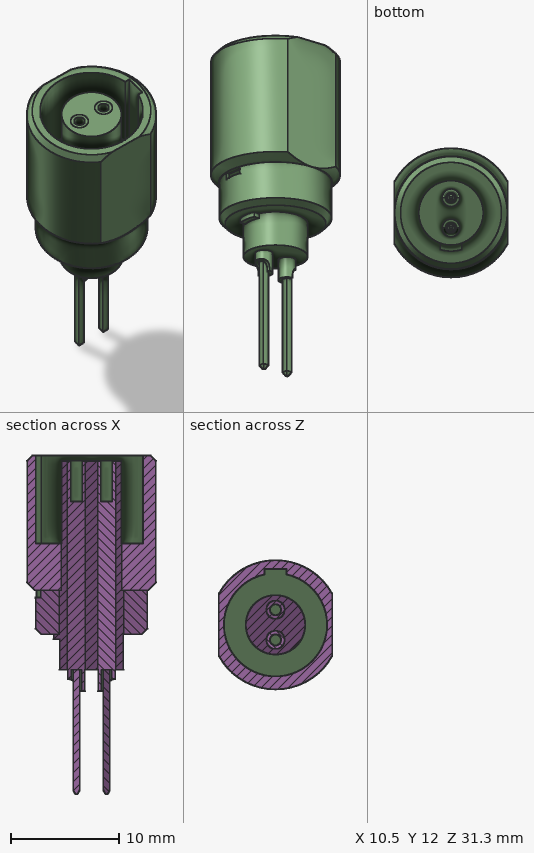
import cadquery as cq

TOTAL_HEIGHT = 31.3
SHELL_BOTTOM = 18.85
RING_BOTTOM = 14.77
INSULATOR_BOTTOM = 11.5
CONTACT_BOTTOM = 9.5

SHELL_RADIUS = 5.98
FLAT_WIDTH = 10.5
TOP_CHAMFER = 0.5
BOTTOM_CHAMFER = SHELL_RADIUS - FLAT_WIDTH / 2
CAVITY_RADIUS = 4.75
CAVITY_DEPTH = 8.15
KEYWAY_WIDTH = 2.0
KEYWAY_REACH = 5.13

RING_RADIUS = 5.2
RING_CHAMFER = 0.53
RING_NOTCH_HEIGHT = 0.65
RING_NOTCH_DEPTH = 0.5

CORE_RADIUS = 2.75
CORE_RECESS = 0.5
CORE_TOP = TOTAL_HEIGHT - CORE_RECESS
REAR_RADIUS = 2.97
TAB_REACH = 3.55
TAB_HEIGHT = 0.47

CONTACT_RADIUS = 0.8
CONTACT_PITCH = 2.8
SOCKET_RADIUS = 0.5
SOCKET_DEPTH = 3.75
CUP_RADIUS = 0.47
CUP_TOP = INSULATOR_BOTTOM
CUTAWAY_TOP = INSULATOR_BOTTOM - 0.85
PIN_WIDTH = 0.63
PIN_TIP_HEIGHT = 0.38
PIN_TIP_INSET = 0.22

SIDES = (-1, 1)


def cylinder(radius, bottom, top):
    return cq.Workplane("XY").workplane(offset=bottom).circle(radius).extrude(top - bottom)


def block(x_size, y_min, y_max, bottom, top):
    """Box centred on X = 0 between the given Y and Z limits."""
    box = cq.Workplane("XY").box(x_size, y_max - y_min, top - bottom, centered=(True, False, False))
    return box.translate((0, y_min, bottom))


def make_shell():
    """Round sleeve with two flats, a mating cavity and a keyway on +Y."""
    shell = cylinder(SHELL_RADIUS, SHELL_BOTTOM, TOTAL_HEIGHT)
    shell = shell.faces(">Z").chamfer(TOP_CHAMFER)
    shell = shell.faces("<Z").chamfer(BOTTOM_CHAMFER)
    flats = block(FLAT_WIDTH, -SHELL_RADIUS, SHELL_RADIUS, SHELL_BOTTOM, TOTAL_HEIGHT)
    cavity_floor = TOTAL_HEIGHT - CAVITY_DEPTH
    cavity = cylinder(CAVITY_RADIUS, cavity_floor, TOTAL_HEIGHT)
    keyway = block(KEYWAY_WIDTH, 0, KEYWAY_REACH, cavity_floor, TOTAL_HEIGHT)
    core_bore = cylinder(CORE_RADIUS, SHELL_BOTTOM, TOTAL_HEIGHT)
    return shell.intersect(flats).cut(cavity).cut(keyway).cut(core_bore)


def make_ring():
    """Rear ring with a chamfered lower edge and a notch under the shell on +Y."""
    ring = cylinder(RING_RADIUS, RING_BOTTOM, SHELL_BOTTOM)
    ring = ring.faces("<Z").chamfer(RING_CHAMFER)
    notch = block(
        KEYWAY_WIDTH,
        RING_RADIUS - RING_NOTCH_DEPTH,
        RING_RADIUS,
        SHELL_BOTTOM - RING_NOTCH_HEIGHT,
        SHELL_BOTTOM,
    )
    return ring.cut(cylinder(REAR_RADIUS, RING_BOTTOM, SHELL_BOTTOM)).cut(notch)


def make_insulator():
    """Stepped core with a small tab below the ring and two contact bores."""
    insulator = cylinder(REAR_RADIUS, INSULATOR_BOTTOM, SHELL_BOTTOM)
    insulator = insulator.union(cylinder(CORE_RADIUS, SHELL_BOTTOM, CORE_TOP))
    tab_bottom = RING_BOTTOM - TAB_HEIGHT
    tab = cylinder(TAB_REACH, tab_bottom, RING_BOTTOM)
    tab = tab.intersect(block(KEYWAY_WIDTH, 0, TAB_REACH, tab_bottom, RING_BOTTOM))
    insulator = insulator.union(tab)
    for side in SIDES:
        bore = cylinder(CONTACT_RADIUS, INSULATOR_BOTTOM, CORE_TOP)
        insulator = insulator.cut(bore.translate((0, side * CONTACT_PITCH / 2, 0)))
    return insulator


def make_contact(side):
    """Socket contact whose solder cup is cut away on the side facing outward."""
    contact = cylinder(CONTACT_RADIUS, CONTACT_BOTTOM, CORE_TOP)
    contact = contact.cut(cylinder(SOCKET_RADIUS, CORE_TOP - SOCKET_DEPTH, CORE_TOP))
    contact = contact.cut(cylinder(CUP_RADIUS, CONTACT_BOTTOM, CUP_TOP))
    outer_edge = side * CONTACT_RADIUS
    arc_end = CUTAWAY_TOP - CONTACT_RADIUS
    cutaway = (
        cq.Workplane("YZ")
        .moveTo(outer_edge, CUTAWAY_TOP)
        .radiusArc((0, arc_end), side * -CONTACT_RADIUS)
        .lineTo(0, CONTACT_BOTTOM)
        .lineTo(outer_edge, CONTACT_BOTTOM)
        .close()
        .extrude(CONTACT_RADIUS, both=True)
    )
    return contact.cut(cutaway).translate((0, side * CONTACT_PITCH / 2, 0))


def make_pin(side):
    """Square pin with a tapered tip, seated against the end of the solder cup."""
    shank = block(PIN_WIDTH, -PIN_WIDTH / 2, PIN_WIDTH / 2, 0, CUP_TOP)
    pin = shank.faces("<Z").chamfer(PIN_TIP_HEIGHT, PIN_TIP_INSET)
    return pin.translate((0, side * CONTACT_PITCH / 2, 0))


shell = make_shell()
ring = make_ring()
insulator = make_insulator()
contacts = [make_contact(side) for side in SIDES]
pins = [make_pin(side) for side in SIDES]

result = cq.Compound.makeCompound(
    [
        shell.solids().val(),
        ring.solids().val(),
        insulator.solids().val(),
        *[contact.solids().val() for contact in contacts],
        *[pin.solids().val() for pin in pins],
    ]
)